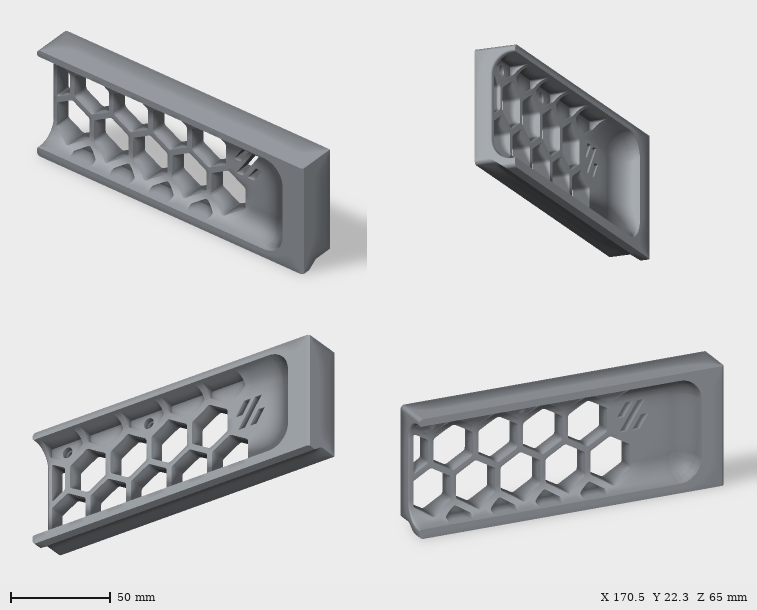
import cadquery as cq
import math

LENGTH = 170.5
DEPTH = 22.3
HEIGHT = 65.0
STEP_HEIGHT = 4.0
STEP_START = 5.3
STEP_END = 10.9
END_ROUND = 2.0
FRONT_CHAMFER = 1.0

POCKET_DEPTH = 13.0
POCKET_END = 157.5
TOP_RIM = 4.0
BOTTOM_RIM = 5.1
POCKET_CORNER = 12.0
POCKET_FLOOR_ROUND = 10.9
LIP_ROUND = 1.0

CELL_PITCH = 25.0
CELL_FLATS = 22.0
CELL_ROUND = 2.0
CUT_ROUND = 0.9
PATTERN_LEFT = 2.7
FIRST_CELL_X = 12.5
LOWER_ROW_Z = 19.5
ROW_PITCH = CELL_PITCH * math.sqrt(3) / 2
ROW_CELLS = 5

SCREW_DIAMETER = 3.2
HEAD_DIAMETER = 6.0
HEAD_DEPTH = 3.0
SCREW_Z = 55.8
SCREW_CELLS = (0, 2)

SLOT_WIDTH = 4.1
SLOT_BOTTOM = 33.0
SLOT_TOP = 49.0
SLOT_MIDDLE = (SLOT_BOTTOM + SLOT_TOP) / 2
SLOT_LEAN = 0.65
LEFT_SLOT_X = 116.3
LONG_SLOT_X = 117.8
RIGHT_SLOT_X = 125.0

POCKET_TOP = HEIGHT - TOP_RIM
BORDER_TOLERANCE = 0.02


def block(x_range, y_range, z_range):
    """Axis-aligned box spanning the three ranges."""
    size = [high - low for low, high in (x_range, y_range, z_range)]
    corner = (x_range[0], y_range[0], z_range[0])
    return cq.Workplane("XY").box(*size, centered=False).translate(corner)


def prism(points, y_end):
    """Outline of (x, z) points extruded from the front back to y_end."""
    return cq.Workplane("XZ").polyline(points).close().extrude(-y_end)


def rounded_block(z_low):
    """Full-length, full-depth block from z_low to the top, rounded at its left end."""
    solid = block((0, LENGTH), (0, DEPTH), (z_low, HEIGHT))
    return solid.edges("|Y and <X").fillet(END_ROUND)


def make_body():
    """Full-height front with a sloped back, joined to a shorter block of full depth."""
    slope_run = (STEP_END - STEP_START) / STEP_HEIGHT
    wedge_outline = [
        (0, 0),
        (STEP_START, 0),
        (STEP_START + slope_run * HEIGHT, HEIGHT),
        (0, HEIGHT),
    ]
    wedge = cq.Workplane("YZ").polyline(wedge_outline).close().extrude(LENGTH)
    front = rounded_block(0).intersect(wedge)
    body = rounded_block(STEP_HEIGHT).union(front)
    return body.edges("|Z and >X and <Y").chamfer(FRONT_CHAMFER)


def make_pocket():
    """Pocket volume; it overruns the left end and the front of the body."""
    overrun = POCKET_CORNER
    pocket = block((-overrun, POCKET_END), (-overrun, POCKET_DEPTH), (BOTTOM_RIM, POCKET_TOP))
    pocket = pocket.edges("|Y and >X").fillet(POCKET_CORNER)
    return pocket.faces(">Y").edges("not <X").fillet(POCKET_FLOOR_ROUND)


def round_pocket_lip(body):
    """Round the edge where the pocket leaves the left end."""
    margin = 0.9
    lip = cq.selectors.BoxSelector(
        (-margin, -margin, BOTTOM_RIM - margin),
        (margin, POCKET_DEPTH + margin, POCKET_TOP + margin),
        boundingbox=True,
    )
    return body.edges(lip).fillet(LIP_ROUND)


def make_cell(x, z, y_end):
    """Hexagonal cell, trimmed to the pattern border, with rounded corners."""
    radius = CELL_FLATS / math.sqrt(3)
    angles = [math.radians(30 + 60 * i) for i in range(6)]
    points = [(x + radius * math.cos(a), z + radius * math.sin(a)) for a in angles]
    hexagon = prism(points, y_end)
    border = block((PATTERN_LEFT, LENGTH), (0, y_end), (BOTTOM_RIM, POCKET_TOP))
    cell = hexagon.intersect(border)

    def on_border(edge):
        point = edge.Center()
        gaps = (point.x - PATTERN_LEFT, point.z - BOTTOM_RIM, POCKET_TOP - point.z)
        return min(gaps) < BORDER_TOLERANCE

    whole_corners = cell.edges("|Y").filter(lambda edge: not on_border(edge))
    cell = whole_corners.fillet(CELL_ROUND)
    cut_corners = cell.edges("|Y").filter(on_border)
    return cut_corners.fillet(CUT_ROUND) if cut_corners.size() else cell


def make_honeycomb():
    """Two rows of through cells between two rows of cells that stop at the pocket floor."""
    shifted_x = FIRST_CELL_X - CELL_PITCH / 2
    rows = [
        (shifted_x + CELL_PITCH, -1, ROW_CELLS - 1, POCKET_DEPTH),
        (FIRST_CELL_X, 0, ROW_CELLS, DEPTH),
        (shifted_x, 1, ROW_CELLS, DEPTH),
        (FIRST_CELL_X, 2, ROW_CELLS, POCKET_DEPTH),
    ]
    cells = []
    for first_x, row, count, y_end in rows:
        for column in range(count):
            x = first_x + column * CELL_PITCH
            z = LOWER_ROW_Z + row * ROW_PITCH
            cells.append(make_cell(x, z, y_end))
    return cells


def make_screw_hole(cell_number):
    x = FIRST_CELL_X + cell_number * CELL_PITCH
    plane = cq.Workplane("XZ", origin=(x, POCKET_DEPTH, SCREW_Z))
    shank = plane.circle(SCREW_DIAMETER / 2).extrude(POCKET_DEPTH - DEPTH)
    head = plane.circle(HEAD_DIAMETER / 2).extrude(-HEAD_DEPTH)
    return shank.union(head)


def make_slot(x, z_low, z_high):
    """Slanted through slot whose lower left corner is at (x, z_low)."""
    lean = SLOT_LEAN * (z_high - z_low)
    points = [
        (x, z_low),
        (x + SLOT_WIDTH, z_low),
        (x + SLOT_WIDTH + lean, z_high),
        (x + lean, z_high),
    ]
    return prism(points, DEPTH)


result = round_pocket_lip(make_body().cut(make_pocket()))

openings = make_honeycomb()
openings += [make_screw_hole(number) for number in SCREW_CELLS]
openings += [
    make_slot(LEFT_SLOT_X, SLOT_MIDDLE, SLOT_TOP),
    make_slot(LONG_SLOT_X, SLOT_BOTTOM, SLOT_TOP),
    make_slot(RIGHT_SLOT_X, SLOT_BOTTOM, SLOT_MIDDLE),
]
for opening in openings:
    result = result.cut(opening)